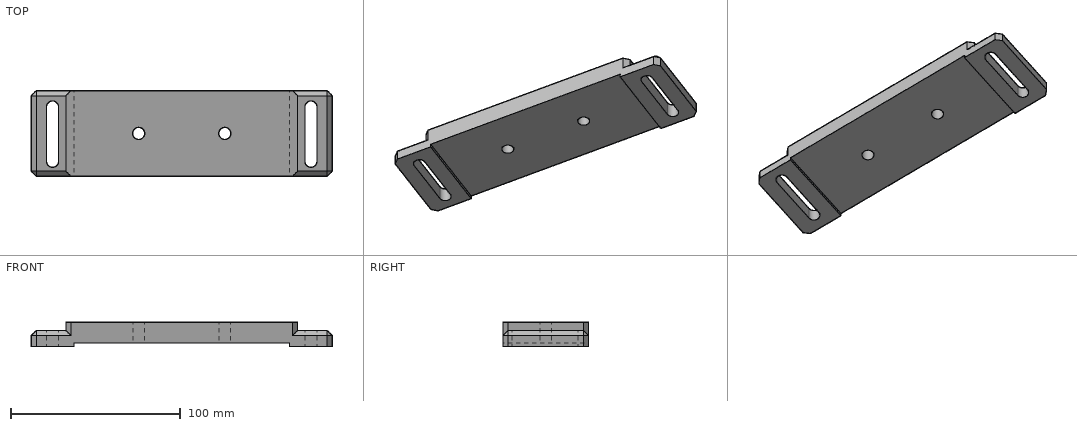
import cadquery as cq

length = 177.8
width = 50.6
height = 14.4

shelf_length = 20.5
shelf_height = 9.6
chamfer = 3.1

foot_length = 25.4
relief_depth = 2.1

opening_width = 7.0
slot_length = 39.0
slot_y = -0.4
slot_end_distance = 12.7
hole_spacing = 50.8


def plain_block(block_length, block_height):
    """Full-width block centred on X and Y, standing on Z = 0."""
    return cq.Workplane("XY").box(block_length, width, block_height, centered=(True, True, False))


def base_plate():
    """Full-length plate whose ends form the shelves.

    Chamfering the upright corners and the top rim together leaves a triangular facet at each top corner.
    """
    return plain_block(length, shelf_height).edges("|Z or >Z").chamfer(chamfer)


def raised_centre():
    """Full-height block between the two shelves, with its upright corners chamfered."""
    return plain_block(length - 2 * shelf_length, height).edges("|Z").chamfer(chamfer)


def underside_relief():
    """Full-width cutter that leaves a foot under each end."""
    return plain_block(length - 2 * foot_length, relief_depth)


def shelf_slots():
    """Crosswise slot cutters, one through each shelf."""
    slot_x = length / 2 - slot_end_distance
    return (
        cq.Workplane("XY")
        .pushPoints([(-slot_x, slot_y), (slot_x, slot_y)])
        .slot2D(slot_length, opening_width, angle=90)
        .extrude(height)
    )


def centre_holes():
    """Pair of hole cutters on the long centreline."""
    hole_x = hole_spacing / 2
    return (
        cq.Workplane("XY")
        .pushPoints([(-hole_x, 0), (hole_x, 0)])
        .circle(opening_width / 2)
        .extrude(height)
    )


result = (
    base_plate()
    .union(raised_centre())
    .cut(underside_relief())
    .cut(shelf_slots())
    .cut(centre_holes())
)